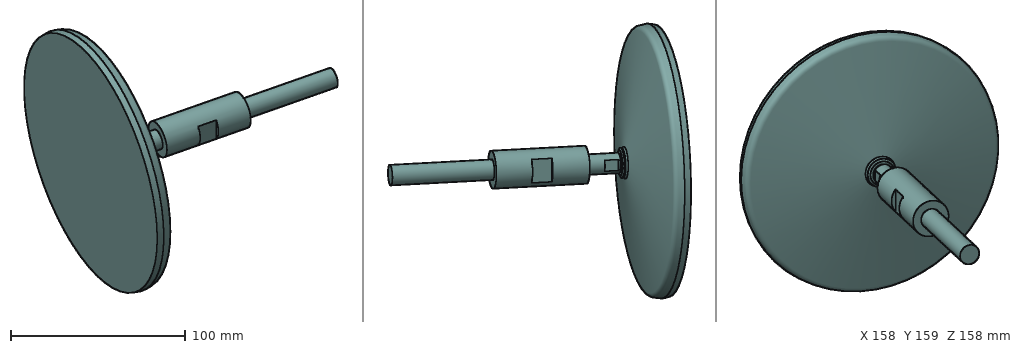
import cadquery as cq

total_length = 159.0

plate_radius = 79.0
plate_edge_radius = 78.4
widest_y = 4.0
shoulder_y = 7.2
shoulder_top_y = 10.0
cone_base_radius = 75.7

cone_top_y = 21.1
cone_top_radius = 9.2
neck_y = 22.3
neck_radius = 8.1
collar_y = 23.2
collar_radius = 8.7
neck_top_y = 24.0
neck_top_radius = 7.3

spindle_radius = 12.0 / 2
spindle_chamfer = 0.8
spindle_flat_width = 10.0
spindle_flat_start = 25.9
spindle_flat_end = 34.0

sleeve_radius = 22.0 / 2
sleeve_start = 44.0
sleeve_end = 99.0
sleeve_flat_width = 17.0
sleeve_flat_start = 65.8
sleeve_flat_end = 77.8


def rod(radius, start, end):
    """Cylinder along Y between two heights."""
    return cq.Workplane("XZ", origin=(0, start, 0)).circle(radius).extrude(start - end)


def cut_flats(body, radius, across_flats, start, end):
    """Cut two opposite wrench flats facing -X and +X."""
    depth = radius - across_flats / 2
    for side in (-1, 1):
        cutter = cq.Workplane("XY").box(depth, end - start, 2 * radius)
        middle_x = side * (across_flats + depth) / 2
        body = body.cut(cutter.translate((middle_x, (start + end) / 2, 0)))
    return body


def make_foot_plate():
    """Revolved disc with a shoulder rounded tangent to the cone, a conical top and a collared neck."""
    profile = (
        cq.Workplane("XY")
        .lineTo(0, neck_top_y)
        .lineTo(neck_top_radius, neck_top_y)
        .lineTo(collar_radius, collar_y)
        .lineTo(neck_radius, neck_y)
        .lineTo(cone_top_radius, cone_top_y)
        .lineTo(cone_base_radius, shoulder_top_y)
        .tangentArcPoint((plate_edge_radius, shoulder_y), relative=False)
        .lineTo(plate_radius, widest_y)
        .lineTo(plate_edge_radius, 0)
        .close()
    )
    return profile.revolve(360, (0, 0, 0), (0, 1, 0))


def make_spindle():
    """Rod standing on the neck, chamfered at its foot, with two wrench flats."""
    spindle = rod(spindle_radius, neck_top_y, total_length)
    spindle = spindle.faces("<Y").chamfer(spindle_chamfer)
    return cut_flats(spindle, spindle_radius, spindle_flat_width, spindle_flat_start, spindle_flat_end)


def make_sleeve():
    """Tube fitted around the spindle, with two wrench flats."""
    sleeve = rod(sleeve_radius, sleeve_start, sleeve_end)
    sleeve = sleeve.cut(rod(spindle_radius, sleeve_start, sleeve_end))
    return cut_flats(sleeve, sleeve_radius, sleeve_flat_width, sleeve_flat_start, sleeve_flat_end)


foot_plate = make_foot_plate()
spindle = make_spindle()
sleeve = make_sleeve()

result = cq.Compound.makeCompound([foot_plate.val(), spindle.val(), sleeve.val()])